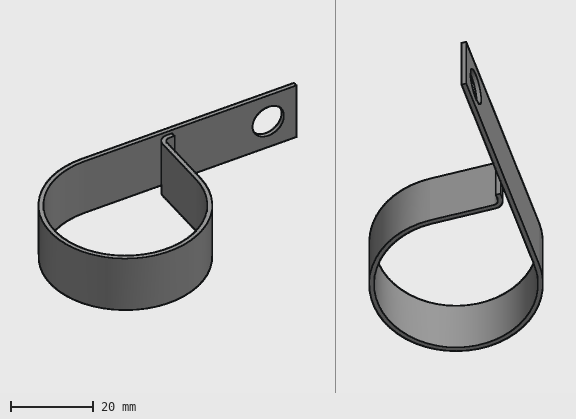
import cadquery as cq
import math

total_length = 80.6
strip_width = 15.9
thickness = 1.2

loop_diameter = 42.1
outer_radius = loop_diameter / 2
inner_radius = outer_radius - thickness
arm_end_y = total_length - outer_radius

lip_gap = 1.1
lip_rise = 2.9
bend_outer_radius = 2.6
bend_inner_radius = bend_outer_radius - thickness
lip_outer_x = -inner_radius + lip_gap
lip_inner_x = lip_outer_x + thickness
lip_end_y = outer_radius + lip_rise
bend_x = lip_outer_x + bend_outer_radius
bend_y = inner_radius + bend_outer_radius

hole_diameter = 8.8
hole_end_distance = 7.9


def point_on_arc(center_x, center_y, radius, degrees):
    angle = math.radians(degrees)
    return (center_x + radius * math.cos(angle), center_y + radius * math.sin(angle))


def make_strip():
    """Long arm, three-quarter loop, short return and lip as one bent strip."""
    return (
        cq.Workplane("XY")
        .workplane(offset=-strip_width / 2)
        .moveTo(-outer_radius, arm_end_y)
        .lineTo(-outer_radius, 0)
        .threePointArc(point_on_arc(0, 0, outer_radius, -45), (0, outer_radius))
        .lineTo(bend_x, outer_radius)
        .threePointArc(
            point_on_arc(bend_x, bend_y, bend_inner_radius, 225), (lip_inner_x, bend_y)
        )
        .lineTo(lip_inner_x, lip_end_y)
        .lineTo(lip_outer_x, lip_end_y)
        .lineTo(lip_outer_x, bend_y)
        .threePointArc(
            point_on_arc(bend_x, bend_y, bend_outer_radius, 225), (bend_x, inner_radius)
        )
        .lineTo(0, inner_radius)
        .threePointArc(point_on_arc(0, 0, inner_radius, -45), (-inner_radius, 0))
        .lineTo(-inner_radius, arm_end_y)
        .close()
        .extrude(strip_width)
    )


def make_hole_cutter():
    """Cylinder through the long arm only, starting on its outer face."""
    return cq.Workplane("XY").add(
        cq.Solid.makeCylinder(
            hole_diameter / 2,
            thickness,
            cq.Vector(-outer_radius, arm_end_y - hole_end_distance, 0),
            cq.Vector(1, 0, 0),
        )
    )


result = make_strip().cut(make_hole_cutter())